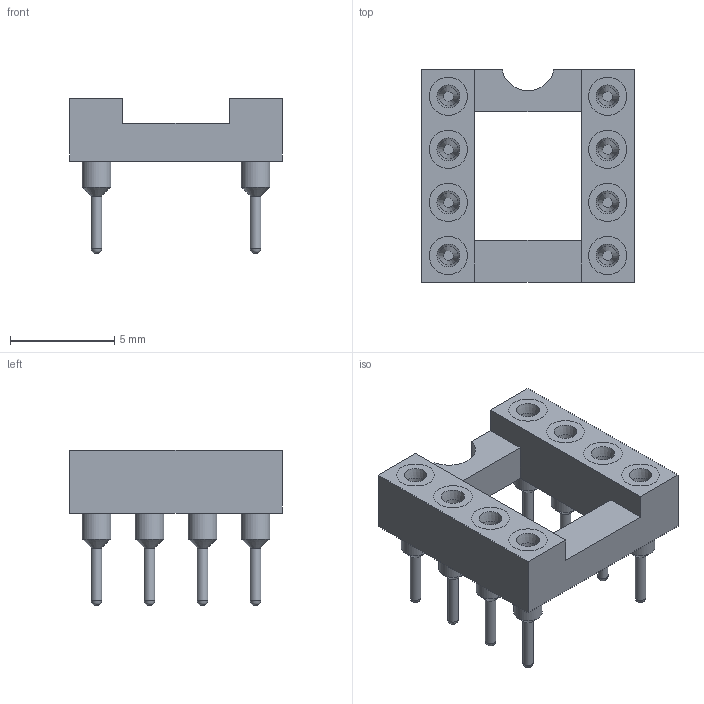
import cadquery as cq


PITCH = 2.54
PINS_PER_ROW = 4
ROW_SPACING = 3 * PITCH

BODY_LENGTH = PINS_PER_ROW * PITCH
RAIL_WIDTH = PITCH
BODY_WIDTH = ROW_SPACING + RAIL_WIDTH
BODY_HEIGHT = 3.0
BRIDGE_WIDTH = 2.0
BRIDGE_HEIGHT = 1.8
NOTCH_RADIUS = PITCH / 2
NOTCH_DEPTH = 1.0

HEAD_RADIUS = 1.83 / 2
SLEEVE_RADIUS = 1.37 / 2
TAIL_RADIUS = 0.51 / 2
HEAD_BOTTOM = BODY_HEIGHT / 2
SLEEVE_BOTTOM = -1.25
TAIL_TOP = SLEEVE_BOTTOM - (SLEEVE_RADIUS - TAIL_RADIUS)
PIN_TIP = -4.43

MOUTH_RADIUS = 1.1 / 2
NECK_RADIUS = 0.92 / 2
FLOOR_RADIUS = 0.48 / 2
MOUTH_DEPTH = 0.5
SOCKET_DEPTH = 3.0


def make_body():
    """Two tall rails joined at both ends by lower bridges, with a pin-one notch in the +Y bridge."""
    gap = BODY_WIDTH - 2 * RAIL_WIDTH
    opening_length = BODY_LENGTH - 2 * BRIDGE_WIDTH
    upright = (True, True, False)

    body = cq.Workplane("XY").box(BODY_WIDTH, BODY_LENGTH, BODY_HEIGHT, centered=upright)
    trough = (
        cq.Workplane("XY", origin=(0, 0, BRIDGE_HEIGHT))
        .box(gap, BODY_LENGTH, BODY_HEIGHT - BRIDGE_HEIGHT, centered=upright)
    )
    opening = cq.Workplane("XY").box(gap, opening_length, BODY_HEIGHT, centered=upright)
    notch_y = BODY_LENGTH / 2 - NOTCH_DEPTH + NOTCH_RADIUS
    notch = cq.Workplane("XY").center(0, notch_y).circle(NOTCH_RADIUS).extrude(BODY_HEIGHT)
    return body.cut(trough).cut(opening).cut(notch)


def make_pin():
    """Solid pin on the Z axis: wide head, sleeve, 45-degree cone, thin tail and a hemispherical tip."""
    round_start = PIN_TIP + TAIL_RADIUS
    half_profile = (
        cq.Workplane("XZ")
        .moveTo(0, BODY_HEIGHT)
        .lineTo(HEAD_RADIUS, BODY_HEIGHT)
        .lineTo(HEAD_RADIUS, HEAD_BOTTOM)
        .lineTo(SLEEVE_RADIUS, HEAD_BOTTOM)
        .lineTo(SLEEVE_RADIUS, SLEEVE_BOTTOM)
        .lineTo(TAIL_RADIUS, TAIL_TOP)
        .lineTo(TAIL_RADIUS, round_start)
        .radiusArc((0, PIN_TIP), TAIL_RADIUS)
        .close()
    )
    return half_profile.revolve(360, (0, 0, 0), (0, 1, 0))


def make_socket():
    """Cavity on the Z axis: short tapered mouth, then a long taper to a flat floor."""
    half_profile = (
        cq.Workplane("XZ")
        .moveTo(0, BODY_HEIGHT)
        .lineTo(MOUTH_RADIUS, BODY_HEIGHT)
        .lineTo(NECK_RADIUS, BODY_HEIGHT - MOUTH_DEPTH)
        .lineTo(FLOOR_RADIUS, BODY_HEIGHT - SOCKET_DEPTH)
        .lineTo(0, BODY_HEIGHT - SOCKET_DEPTH)
        .close()
    )
    return half_profile.revolve(360, (0, 0, 0), (0, 1, 0))


def contact_positions():
    """Centres of all contacts, one row on each rail."""
    first_y = -(PINS_PER_ROW - 1) * PITCH / 2
    return [
        (side * ROW_SPACING / 2, first_y + index * PITCH)
        for side in (-1, 1)
        for index in range(PINS_PER_ROW)
    ]


pin = make_pin()
socket = make_socket()
result = make_body()
for x, y in contact_positions():
    result = result.union(pin.translate((x, y, 0)), clean=False)
    result = result.cut(socket.translate((x, y, 0)), clean=False)